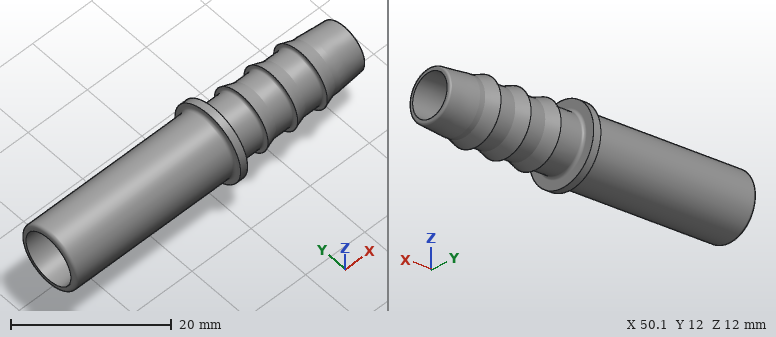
import cadquery as cq

total_length = 50.1
start_x = -total_length / 2
end_x = total_length / 2

tube_radius = 5.0
tube_end_fillet = 0.5
flange_radius = 6.0
flange_start_x = start_x + 26.95
flange_width = 1.2
flange_end_x = flange_start_x + flange_width
flange_root_fillet = 0.45

stem_radius = 4.25
barb_radius = 4.9
barb_count = 3
barb_pitch = 5.0
barb_length = 2.0
barb_root_fillet = 0.3
first_barb_x = start_x + 32.6

nose_radius = 3.85
nose_fillet = 0.3
nose_length = 4.6

bore_step_x = flange_start_x
wide_bore_mouth_radius = 4.1
wide_bore_end_radius = 3.9
narrow_bore_step_radius = 3.4
narrow_bore_end_radius = 3.2


def concave_corner(profile, x, radius, size):
    """Step outward at x, rounding the inside corner with a quarter arc."""
    profile = profile.lineTo(x - size, radius)
    return profile.radiusArc((x, radius + size), -size)


def make_body():
    """Revolve the outer outline into a solid without the bore."""
    profile = cq.Workplane("XY").moveTo(start_x, 0)
    profile = profile.lineTo(start_x, tube_radius - tube_end_fillet)
    profile = profile.radiusArc((start_x + tube_end_fillet, tube_radius), tube_end_fillet)

    profile = concave_corner(profile, flange_start_x, tube_radius, flange_root_fillet)
    profile = profile.lineTo(flange_start_x, flange_radius)
    profile = profile.lineTo(flange_end_x, flange_radius)
    profile = profile.lineTo(flange_end_x, stem_radius + flange_root_fillet)
    profile = profile.radiusArc((flange_end_x + flange_root_fillet, stem_radius), -flange_root_fillet)

    for index in range(barb_count):
        barb_x = first_barb_x + index * barb_pitch
        profile = concave_corner(profile, barb_x, stem_radius, barb_root_fillet)
        profile = profile.lineTo(barb_x, barb_radius)
        profile = profile.lineTo(barb_x + barb_length, stem_radius)

    profile = profile.lineTo(end_x - nose_length, stem_radius)
    profile = profile.lineTo(end_x, nose_radius)
    profile = profile.lineTo(end_x, 0).close()
    body = profile.revolve(360, (0, 0, 0), (1, 0, 0))
    return body.faces(">X").edges().fillet(nose_fillet)


def make_bore():
    """Revolve the stepped, tapered bore into one cutting solid."""
    profile = cq.Workplane("XY").moveTo(start_x, 0)
    profile = profile.lineTo(start_x, wide_bore_mouth_radius)
    profile = profile.lineTo(bore_step_x, wide_bore_end_radius)
    profile = profile.lineTo(bore_step_x, narrow_bore_step_radius)
    profile = profile.lineTo(end_x, narrow_bore_end_radius)
    profile = profile.lineTo(end_x, 0).close()
    return profile.revolve(360, (0, 0, 0), (1, 0, 0))


result = make_body().cut(make_bore())